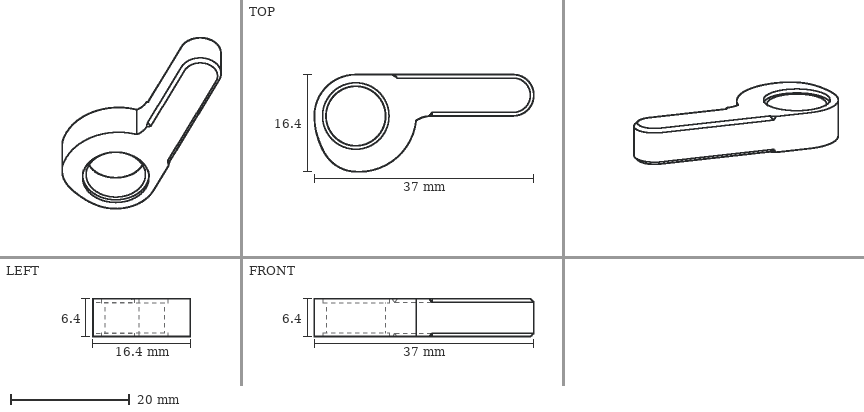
import cadquery as cq
import math

thickness = 6.4
hub_radius = 7.0
bore_radius = 5.0
counterbore_radius = 5.6
counterbore_depth = 0.7

arm_tip_x = 29.99
arm_width = hub_radius
tip_radius = arm_width / 2
tip_center_x = arm_tip_x - tip_radius
chamfer = 0.6

lobe_center = (0.53, 0.28)
lobe_radius = 9.7
lobe_start_x = -0.7
toe_radius = 6.0
toe_end_x = -3.43

corner_end_x = 12.44
corner_radius = 3.8

band_height = 0.6
swell = 0.08
flank_mid = (-6.2, -4.1)

lower_runout_x = 12.86
upper_runout_x = 6.5
upper_runout_top_x = 6.98
upper_runout_back_x = 6.05


def below(center, radius, x):
    """Point at x on the lower half of a circle."""
    return (x, center[1] - math.sqrt(radius**2 - (x - center[0]) ** 2))


def above(center, radius, x):
    """Point at x on the upper half of a circle."""
    return (x, center[1] + math.sqrt(radius**2 - (x - center[0]) ** 2))


def left_crossing(center_a, radius_a, center_b, radius_b):
    """Crossing of two circles on the left when going from center a to center b."""
    dx = center_b[0] - center_a[0]
    dy = center_b[1] - center_a[1]
    distance = math.hypot(dx, dy)
    along = (radius_a**2 - radius_b**2 + distance**2) / (2 * distance)
    across = math.sqrt(radius_a**2 - along**2)
    return (
        center_a[0] + (along * dx - across * dy) / distance,
        center_a[1] + (along * dy + across * dx) / distance,
    )


def middle_x(start, end):
    return (start[0] + end[0]) / 2


flank_start = (-hub_radius, 0)
lobe_start = below(lobe_center, lobe_radius, lobe_start_x)
toe_ratio = toe_radius / lobe_radius
toe_center = (
    lobe_start[0] + (lobe_center[0] - lobe_start[0]) * toe_ratio,
    lobe_start[1] + (lobe_center[1] - lobe_start[1]) * toe_ratio,
)
flank_end = below(toe_center, toe_radius, toe_end_x)
flank_end_tangent = (toe_center[1] - flank_end[1], flank_end[0] - toe_center[0])
corner_center = (corner_end_x, -corner_radius)
corner_start = left_crossing(lobe_center, lobe_radius, corner_center, corner_radius)
corner_end = (corner_end_x, 0)
corner_mid = above(corner_center, corner_radius, middle_x(corner_start, corner_end))
lobe_mid_angle = math.radians(-45)
lobe_mid = (
    lobe_center[0] + lobe_radius * math.cos(lobe_mid_angle),
    lobe_center[1] + lobe_radius * math.sin(lobe_mid_angle),
)
toe_mid = below(toe_center, toe_radius, middle_x(lobe_start, flank_end))

flank_anchor = (-5.8, -0.5)
corner_anchor = (middle_x(corner_start, corner_end), arm_width / 2)


def make_core():
    """Hub, lobe and arm, without the flank and the inner corner."""
    hub_mid = (-hub_radius * math.sqrt(0.5), hub_radius * math.sqrt(0.5))
    return (
        cq.Workplane("XY")
        .moveTo(*flank_start)
        .threePointArc(hub_mid, (0, hub_radius))
        .lineTo(tip_center_x, arm_width)
        .threePointArc((arm_tip_x, tip_radius), (tip_center_x, 0))
        .lineTo(*corner_end)
        .lineTo(*corner_anchor)
        .lineTo(*corner_start)
        .threePointArc(lobe_mid, lobe_start)
        .threePointArc(toe_mid, flank_end)
        .lineTo(*flank_anchor)
        .close()
        .extrude(thickness)
    )


def flank_wire(plane, offset):
    """Flank outline, swollen outwards by the offset at its middle."""
    middle = (flank_mid[0] - offset, flank_mid[1])
    return (
        plane.moveTo(*flank_start)
        .spline([middle, flank_end], tangents=[(0, -1), flank_end_tangent], includeCurrent=True)
        .lineTo(*flank_anchor)
        .close()
    )


def corner_wire(plane, offset):
    """Inner corner outline, swollen outwards by the offset at its middle."""
    middle = (corner_mid[0], corner_mid[1] - offset)
    return (
        plane.moveTo(*corner_start)
        .threePointArc(middle, corner_end)
        .lineTo(*corner_anchor)
        .close()
    )


def make_wall(wire):
    """Transition wall: a swollen middle and a sloping band at each end."""
    wall = wire(cq.Workplane("XY", origin=(0, 0, band_height)), swell).extrude(thickness - 2 * band_height)
    for end_z, band_z in ((0, band_height), (thickness, thickness - band_height)):
        end_plane = cq.Workplane("XY", origin=(0, 0, end_z))
        band = wire(wire(end_plane, 0).workplane(offset=band_z - end_z), swell).loft(ruled=True)
        wall = wall.union(band)
    return wall


def half_space(points):
    """Large block on the arm-tip side of the plane through three points."""
    first, second, third = (cq.Vector(*point) for point in points)
    normal = (second - first).cross(third - first)
    if normal.x < 0:
        normal = normal * -1
    size = 4 * arm_tip_x
    return cq.Workplane(cq.Plane(origin=first, normal=normal)).rect(size, size).extrude(size)


def make_chamfer_ring():
    """Material removed by chamfering the top edge of a full-length arm."""
    bar = (
        cq.Workplane("XY")
        .moveTo(tip_center_x, arm_width)
        .threePointArc((arm_tip_x, tip_radius), (tip_center_x, 0))
        .lineTo(0, 0)
        .lineTo(0, arm_width)
        .close()
        .extrude(thickness)
    )
    return bar.cut(bar.faces(">Z").chamfer(chamfer))


def make_top_chamfer():
    """Arm chamfer, ended on each long side by an inclined run-out face."""
    chamfer_z = thickness - chamfer
    lower_face = [
        (lower_runout_x, 0, chamfer_z),
        (lower_runout_x, chamfer, thickness),
        (lower_runout_x - chamfer, 0, thickness),
    ]
    upper_face = [
        (upper_runout_x, arm_width, chamfer_z),
        (upper_runout_top_x, arm_width - chamfer, thickness),
        (upper_runout_back_x, arm_width, thickness),
    ]
    ring = make_chamfer_ring()
    lower_half = cq.Workplane("XY").box(
        arm_tip_x - corner_end_x, tip_radius, thickness, centered=False
    ).translate((corner_end_x, 0, 0))
    upper_half = cq.Workplane("XY").box(
        arm_tip_x, tip_radius, thickness, centered=False
    ).translate((0, tip_radius, 0))
    lower_strip = ring.intersect(lower_half).intersect(half_space(lower_face))
    upper_strip = ring.intersect(upper_half).intersect(half_space(upper_face))
    return lower_strip.union(upper_strip)


def cut_bore(body):
    """Through bore with a counterbore in each face."""
    bore = cq.Workplane("XY").circle(bore_radius).extrude(thickness)
    body = body.cut(bore)
    for base_z in (0, thickness - counterbore_depth):
        counterbore = (
            cq.Workplane("XY", origin=(0, 0, base_z))
            .circle(counterbore_radius)
            .extrude(counterbore_depth)
        )
        body = body.cut(counterbore)
    return body


top_chamfer = make_top_chamfer()
bottom_chamfer = top_chamfer.mirror("XY", (0, 0, thickness / 2))
body = make_core().union(make_wall(flank_wire)).union(make_wall(corner_wire))
result = cut_bore(body.cut(top_chamfer).cut(bottom_chamfer))